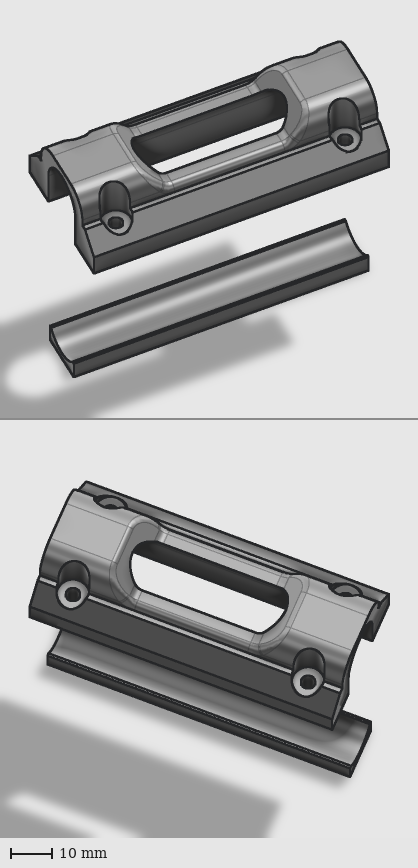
import cadquery as cq

housing_length = 79.0
housing_width = 36.0
housing_height = 19.5
flange_edge_height = 6.0
flange_height = 11.0
flange_top_width = 26.0
ridge_width = 23.0
ridge_radius = 6.5

bore_radius = 7.5
bore_axis_height = 9.5

window_floor_length = 32.0
window_floor_height = 13.0
window_corner_radius = 3.0
window_edge_radius = 2.0
zone_margin = 0.1

screw_spacing_x = 23.8
screw_spacing_y = 61.4
screw_hole_diameter = 3.5
counterbore_diameter = 8.0
counterbore_floor_height = 8.0

insert_length = 79.0
insert_width = 13.4
insert_height = 5.0
insert_floor_thickness = 2.0
insert_base_z = -50.0


def extrude_along_y(profile, length):
    """Extrude an XZ profile evenly to both sides of the XZ plane."""
    return profile.extrude(length / 2, both=True)


def make_flanges():
    """Base block with both upper long edges sloped."""
    half_base = housing_width / 2
    half_top = flange_top_width / 2
    profile = cq.Workplane("XZ").polyline([
        (-half_base, 0),
        (half_base, 0),
        (half_base, flange_edge_height),
        (half_top, flange_height),
        (-half_top, flange_height),
        (-half_base, flange_edge_height),
    ]).close()
    return extrude_along_y(profile, housing_length)


def make_window_cutter():
    """Trapezoid across the ridge, its lower corners rounded."""
    depth = housing_height - window_floor_height
    half_floor = window_floor_length / 2
    half_top = half_floor + depth
    cutter = (
        cq.Workplane("YZ")
        .polyline([
            (-half_floor, window_floor_height),
            (half_floor, window_floor_height),
            (half_top, housing_height),
            (-half_top, housing_height),
        ])
        .close()
        .extrude(housing_width / 2, both=True)
    )
    return cutter.faces("<Z").edges("|X").fillet(window_corner_radius)


def make_ridge():
    """Rounded ridge with the window cut out and the window's outer edges filleted."""
    ridge = cq.Workplane("XY").box(
        ridge_width, housing_length, housing_height, centered=(True, True, False)
    )
    ridge = ridge.faces(">Z").edges("|Y").fillet(ridge_radius)
    ridge = ridge.cut(make_window_cutter())
    half_opening = window_floor_length / 2 + housing_height - window_floor_height
    window_zone = cq.selectors.BoxSelector(
        (-ridge_width, -half_opening - zone_margin, window_floor_height - zone_margin),
        (ridge_width, half_opening + zone_margin, housing_height + zone_margin),
    )
    window_edges = ridge.edges(window_zone)
    side_rims = window_edges.edges("not(|X)")
    top_rims = window_edges.edges("|X").edges(">Z")
    return side_rims.add(top_rims).fillet(window_edge_radius)


def make_tunnel_cutter():
    """Arched tunnel, open at the bottom."""
    profile = (
        cq.Workplane("XZ")
        .moveTo(-bore_radius, 0)
        .lineTo(-bore_radius, bore_axis_height)
        .threePointArc((0, bore_axis_height + bore_radius), (bore_radius, bore_axis_height))
        .lineTo(bore_radius, 0)
        .close()
    )
    return extrude_along_y(profile, housing_length)


def make_screw_cutters():
    """Four through holes, each with a counterbore open to the top."""
    def cylinders(diameter, base_z):
        return (
            cq.Workplane("XY", origin=(0, 0, base_z))
            .rarray(screw_spacing_x, screw_spacing_y, 2, 2)
            .circle(diameter / 2)
            .extrude(housing_height - base_z)
        )

    holes = cylinders(screw_hole_diameter, 0)
    counterbores = cylinders(counterbore_diameter, counterbore_floor_height)
    return holes.union(counterbores)


def make_housing():
    housing = make_flanges().union(make_ridge())
    return housing.cut(make_tunnel_cutter()).cut(make_screw_cutters())


def make_insert():
    """Flat strip with a round channel along its top."""
    strip = cq.Workplane("XY", origin=(0, 0, insert_base_z)).box(
        insert_width, insert_length, insert_height, centered=(True, True, False)
    )
    channel_axis_z = insert_base_z + insert_floor_thickness + bore_radius
    channel = cq.Workplane("XZ").center(0, channel_axis_z).circle(bore_radius)
    return strip.cut(extrude_along_y(channel, insert_length))


housing = make_housing()
insert = make_insert()

result = cq.Compound.makeCompound([housing.solids().val(), insert.solids().val()])